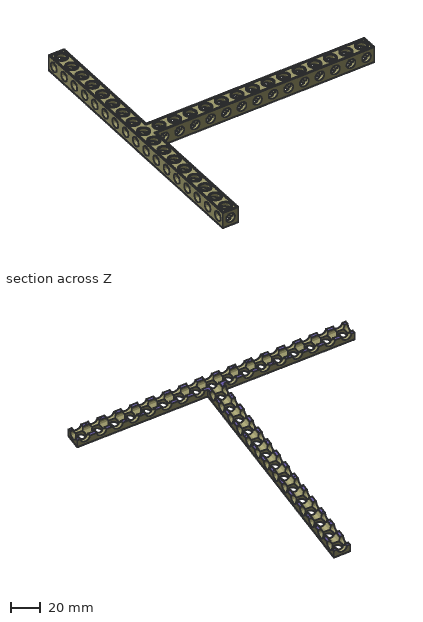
import cadquery as cq

length = 212.5
bar_holes = 17
arm_holes = 14
bore_diameter = 7.0
rim_diameter = 9.1
wall = 1.0
recess_depth = 0.2

pitch = length / bar_holes
half = pitch / 2
arm_tip = half + arm_holes * pitch

bar_positions = [(i - (bar_holes - 1) / 2) * pitch for i in range(bar_holes)]
arm_positions = [(i + 1) * pitch for i in range(arm_holes)]
upright_places = [(x, 0) for x in bar_positions] + [(0, y) for y in arm_positions]


def tee(inset, bottom, height):
    """T-shaped slab whose outline lies inside the beam outline by the inset."""
    half_width = half - inset
    bar_end = length / 2 - inset
    outline = [
        (-bar_end, -half_width),
        (bar_end, -half_width),
        (bar_end, half_width),
        (half_width, half_width),
        (half_width, arm_tip - inset),
        (-half_width, arm_tip - inset),
        (-half_width, half_width),
        (-bar_end, half_width),
    ]
    return cq.Workplane("XY", origin=(0, 0, bottom)).polyline(outline).close().extrude(height)


def cylinders(plane, origin, places, diameter, depth):
    """Equal round cylinders that start on the plane and run along its normal."""
    return cq.Workplane(plane, origin=origin).pushPoints(places).circle(diameter / 2).extrude(depth)


def top_recess():
    """Shallow recess inside the edge walls that leaves a round rim around every upright bore."""
    floor = half - recess_depth
    rims = cylinders("XY", (0, 0, floor), upright_places, rim_diameter, recess_depth)
    return tee(wall, floor, recess_depth).cut(rims)


def bores(plane, origin, places, depth):
    return cylinders(plane, origin, places, bore_diameter, depth)


beam = tee(0, -half, pitch)
beam = beam.cut(top_recess())

bar_cross_places = [(x, 0) for x in bar_positions]
arm_cross_places = [(y, 0) for y in arm_positions]
beam = beam.cut(bores("XY", (0, 0, -half), upright_places, pitch))
beam = beam.cut(bores("XZ", (0, half, 0), bar_cross_places, pitch))
beam = beam.cut(bores("YZ", (-half, 0, 0), arm_cross_places, pitch))

centre = [(0, 0)]
beam = beam.cut(bores("YZ", (-length / 2, 0, 0), centre, length))
beam = beam.cut(bores("XZ", (0, arm_tip, 0), centre, arm_tip))

result = beam